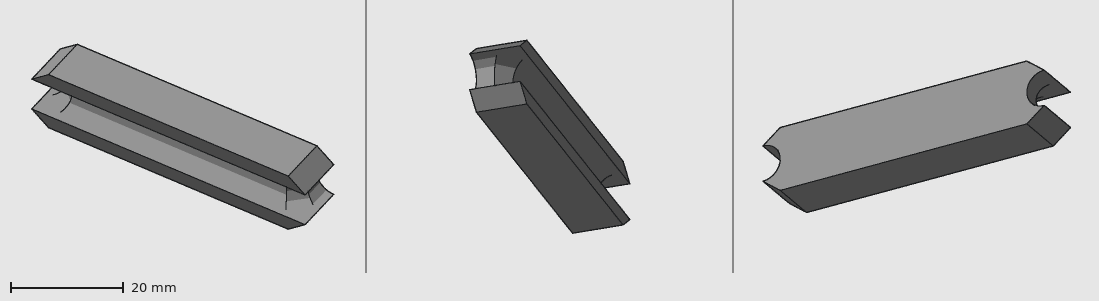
import cadquery as cq
import math

length = 57.4
depth = 9.53
height = 12.7

groove_radius = 3.55

slope_run = 3.55

corner_leg_at_lip = 4.1
corner_leg_at_bottom = 2.6

half_length = length / 2
half_height = height / 2
front_y = -depth / 2


def make_bar():
    """Bar with ends sloping in to the top and bottom faces from the groove lips."""
    top_half_length = half_length - slope_run
    outline = [
        (-top_half_length, half_height),
        (top_half_length, half_height),
        (half_length, groove_radius),
        (half_length, -groove_radius),
        (top_half_length, -half_height),
        (-top_half_length, -half_height),
        (-half_length, -groove_radius),
        (-half_length, groove_radius),
    ]
    return cq.Workplane("XZ").polyline(outline).close().extrude(depth / 2, both=True)


def make_front_groove():
    """Half-round groove over the whole length, with its axis on the front face."""
    axis_point = cq.Workplane("YZ").center(front_y, 0)
    return axis_point.circle(groove_radius).extrude(half_length, both=True)


def make_end_groove(side):
    """Half-round groove over the whole depth, with its axis at one end."""
    axis_point = cq.Workplane("XZ").center(side * half_length, 0)
    return axis_point.circle(groove_radius).extrude(depth / 2, both=True)


def make_corner_cut(side):
    """Half-elliptic trough running diagonally across one front corner."""
    lip_distance = corner_leg_at_lip / math.sqrt(2)
    bottom_distance = (2 * groove_radius + corner_leg_at_bottom) / math.sqrt(2)
    trough_depth = bottom_distance - lip_distance
    trough_half_length = 2 * groove_radius + corner_leg_at_lip

    corner = cq.Vector(side * half_length, front_y, 0)
    inward = cq.Vector(-side, 1, 0).normalized()
    along = cq.Vector(side, 1, 0).normalized()
    trough_start = corner - along * trough_half_length
    section_plane = cq.Plane(origin=trough_start, xDir=inward, normal=along)
    return (
        cq.Workplane(section_plane)
        .moveTo(0, -groove_radius)
        .lineTo(lip_distance, -groove_radius)
        .ellipseArc(trough_depth, groove_radius, -90, 90, startAtCurrent=True)
        .lineTo(0, groove_radius)
        .close()
        .extrude(2 * trough_half_length)
    )


result = make_bar().cut(make_front_groove())
for end_side in (-1, 1):
    result = result.cut(make_end_groove(end_side))
    result = result.cut(make_corner_cut(end_side))